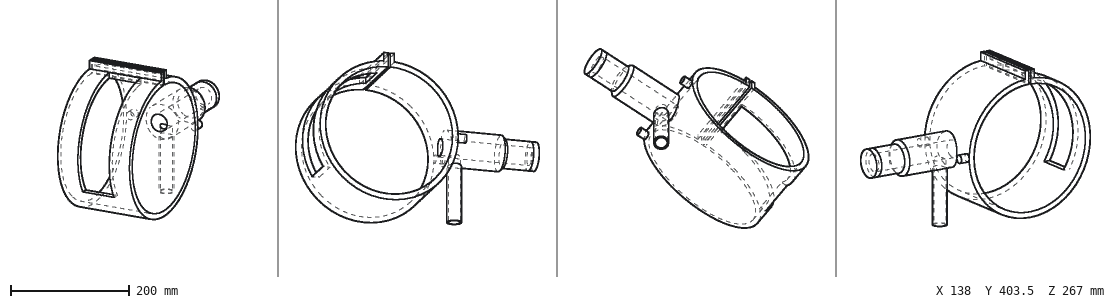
import cadquery as cq

ring_width = 138.0
ring_radius = 122.5
wall = 10.0
bore_radius = ring_radius - wall

flange_thickness = 7.3
split_gap = 4.0
flange_top = 137.0
flange_outer_y = split_gap / 2 + flange_thickness

window_width = 60.0
window_bottom = -62.5
window_inner_y = -10.0

overall_length = 403.5
tube_end = overall_length - ring_radius
tube_diameter = 62.5
tube_radius = tube_diameter / 2
spigot_radius = 25.0
spigot_length = 56.5
shoulder_chamfer = tube_radius - spigot_radius
tube_bore_radius = 15.5
cap_thickness = 10.0
cap_start = tube_end - cap_thickness
spigot_start = tube_end - spigot_length

branch_y = 137.0
branch_radius = 12.5
branch_bore_radius = 10.0
branch_bottom = -130.0

pin_radius = 7.3
pin_end = 138.0
pin_x = ring_width / 2 - pin_radius


def y_cylinder(radius, start, end, x=0):
    """Solid cylinder parallel to Y between two Y positions."""
    return cq.Workplane("XZ", origin=(x, start, 0)).circle(radius).extrude(start - end)


def x_cylinder(radius):
    """Solid cylinder along X as wide as the ring."""
    return cq.Workplane("YZ", origin=(-ring_width / 2, 0, 0)).circle(radius).extrude(ring_width)


def branch_cylinder(radius):
    """Vertical cylinder from the tube axis down to the branch outlet."""
    return cq.Workplane("XY", origin=(0, branch_y, 0)).circle(radius).extrude(branch_bottom)


def make_tube():
    """Stepped outside of the tube, revolved about the Y axis."""
    return (
        cq.Workplane("XY")
        .moveTo(0, 0)
        .lineTo(tube_radius, 0)
        .lineTo(tube_radius, spigot_start - shoulder_chamfer)
        .lineTo(spigot_radius, spigot_start)
        .lineTo(spigot_radius, cap_start)
        .lineTo(0, cap_start)
        .close()
        .revolve(360, (0, 0), (0, 1))
    )


def make_clamp():
    """Ring with flanges, window, pins, tube and branch as one body."""
    flanges = cq.Workplane("XY").box(
        ring_width, 2 * flange_outer_y, flange_top, centered=(True, True, False)
    )
    body = x_cylinder(ring_radius).union(flanges).union(make_tube())
    body = body.union(branch_cylinder(branch_radius))
    for x in (-pin_x, pin_x):
        body = body.union(y_cylinder(pin_radius, 0, pin_end, x))

    split = cq.Workplane("XY").box(
        ring_width, split_gap, flange_top, centered=(True, True, False)
    )
    window = (
        cq.Workplane("XY")
        .box(window_width, ring_radius, ring_radius - window_bottom, centered=(True, False, False))
        .translate((0, window_inner_y - ring_radius, window_bottom))
    )
    body = body.cut(x_cylinder(bore_radius)).cut(split).cut(window)
    body = body.cut(y_cylinder(tube_bore_radius, 0, cap_start))
    return body.cut(branch_cylinder(branch_bore_radius))


def make_cap():
    """Flat disc closing the outer end of the tube."""
    return y_cylinder(spigot_radius, cap_start, tube_end)


clamp = make_clamp()
cap = make_cap()
result = cq.Compound.makeCompound([clamp.val(), cap.val()])